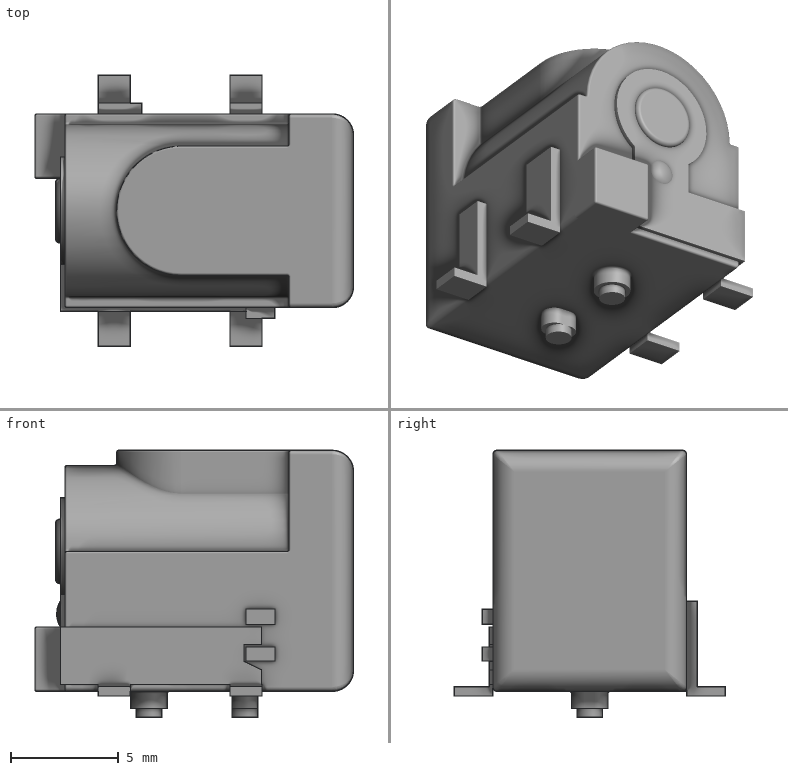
import cadquery as cq
import math

OVERLAP = 0.3

HOUSING_LENGTH = 13.4
HOUSING_WIDTH = 9.0
HOUSING_HEIGHT = 11.2
HALF_WIDTH = HOUSING_WIDTH / 2
LONG_EDGE_RADIUS = 0.2
REAR_EDGE_RADIUS = 1.0
SMALL_RADIUS = 0.1
BARREL_RADIUS = 4.0
BARREL_Z = 6.5
END_WALL_X = 10.4
CROWN_RADIUS = 3.0
CROWN_CENTRE_X = 5.4

BLOCK_LENGTH = 1.4
BLOCK_INNER_Y = 1.5
BLOCK_HEIGHT = 3.0

FRONT_SHEET_X = -0.22
SIDE_SHEET_Y = -4.67
SHEET_BOTTOM_Z = 0.33
SHEET_TOP_Z = BLOCK_HEIGHT
SHEET_REAR_X = 9.13
DISC_RADIUS = 2.5
NECK_HALF_WIDTH = BLOCK_INNER_Y
NOTCH_X = 8.31
NOTCH_TOP_Z = 2.19
NOTCH_BOTTOM_Z = 1.4
NOTCH_RAMP_END_Z = 1.0

RIVET_RADIUS = 1.5
RIVET_HEIGHT = 0.22
RIVET_EDGE_RADIUS = 0.2
DIMPLE_RADIUS = 0.6
DIMPLE_HEIGHT = 0.17
DIMPLE_Z = 3.6

FOOT_WIDTH = 1.5
FOOT_STARTS_X = (1.54, 7.65)
FOOT_TIP_Y = 6.3
FOOT_BOTTOM_Z = -0.22
FOOT_THICKNESS = 0.45
LEG_OUTER_Y = 5.0
LEG_TOP_Z = 4.2
LEG_WIDTHS = (2.03, FOOT_WIDTH)

STUD_START_X = 8.41
STUD_LENGTH = 1.33
STUD_TIP_Y = -5.0
STUD_SPANS_Z = ((1.41, 2.07), (3.12, 3.82))

PEG_RADIUS = 0.6
PEG_TIP_Z = -1.2
FRONT_PEG_X = 3.9
REAR_PEG_X = 8.35
COLLAR_RADIUS = 0.85
COLLAR_BOTTOM_Z = -0.8


def box(x0, x1, y0, y1, z0, z1):
    """Axis-aligned box between two opposite corners."""
    return cq.Workplane("XY").box(x1 - x0, y1 - y0, z1 - z0, centered=False).translate((x0, y0, z0))


def shoulder_recess():
    """Space above the ledges, around the half barrel and the raised crown."""
    space = box(0, END_WALL_X, -HALF_WIDTH, HALF_WIDTH, BARREL_Z, HOUSING_HEIGHT)
    barrel = cq.Workplane("YZ").center(0, BARREL_Z).circle(BARREL_RADIUS).extrude(END_WALL_X)
    crown = (
        cq.Workplane("XY")
        .moveTo(END_WALL_X, -CROWN_RADIUS)
        .lineTo(CROWN_CENTRE_X, -CROWN_RADIUS)
        .threePointArc((CROWN_CENTRE_X - CROWN_RADIUS, 0), (CROWN_CENTRE_X, CROWN_RADIUS))
        .lineTo(END_WALL_X, CROWN_RADIUS)
        .close()
        .extrude(HOUSING_HEIGHT)
    )
    return space.cut(barrel).cut(crown)


def housing():
    body = box(0, HOUSING_LENGTH, -HALF_WIDTH, HALF_WIDTH, 0, HOUSING_HEIGHT)
    body = body.faces(">X").edges().fillet(REAR_EDGE_RADIUS)
    body = body.edges("|X").fillet(LONG_EDGE_RADIUS)
    body = body.cut(shoulder_recess())
    recess_zone = cq.selectors.BoxSelector(
        (-1, -HOUSING_WIDTH, BARREL_Z - SMALL_RADIUS),
        (END_WALL_X + SMALL_RADIUS, HOUSING_WIDTH, HOUSING_HEIGHT + 1),
        boundingbox=True,
    )
    front_edges = body.faces("<X").edges()
    return body.edges(recess_zone).add(front_edges).fillet(SMALL_RADIUS)


def corner_block():
    block = box(-BLOCK_LENGTH, OVERLAP, BLOCK_INNER_Y, HALF_WIDTH, 0, BLOCK_HEIGHT)
    return block.edges("|X or <X").fillet(SMALL_RADIUS)


def contact_sheet():
    front = box(FRONT_SHEET_X, OVERLAP, SIDE_SHEET_Y, BLOCK_INNER_Y, SHEET_BOTTOM_Z, SHEET_TOP_Z)
    neck = box(FRONT_SHEET_X, OVERLAP, -NECK_HALF_WIDTH, NECK_HALF_WIDTH, SHEET_BOTTOM_Z, BARREL_Z)
    disc = (
        cq.Workplane("YZ", origin=(FRONT_SHEET_X, 0, BARREL_Z))
        .circle(DISC_RADIUS)
        .extrude(OVERLAP - FRONT_SHEET_X)
    )
    side = (
        cq.Workplane("XZ", origin=(0, SIDE_SHEET_Y, 0))
        .polyline(
            [
                (FRONT_SHEET_X, SHEET_BOTTOM_Z),
                (FRONT_SHEET_X, SHEET_TOP_Z),
                (SHEET_REAR_X, SHEET_TOP_Z),
                (SHEET_REAR_X, NOTCH_TOP_Z),
                (NOTCH_X, NOTCH_TOP_Z),
                (NOTCH_X, NOTCH_BOTTOM_Z),
                (SHEET_REAR_X, NOTCH_RAMP_END_Z),
                (SHEET_REAR_X, SHEET_BOTTOM_Z),
            ]
        )
        .close()
        .extrude(SIDE_SHEET_Y + HALF_WIDTH - OVERLAP)
    )
    return front.union(neck).union(disc).union(side)


def rivet_and_dimple():
    rivet = (
        cq.Workplane("YZ", origin=(FRONT_SHEET_X, 0, BARREL_Z))
        .circle(RIVET_RADIUS)
        .extrude(-RIVET_HEIGHT)
        .faces("<X")
        .edges()
        .fillet(RIVET_EDGE_RADIUS)
    )
    ball_radius = (DIMPLE_RADIUS**2 + DIMPLE_HEIGHT**2) / (2 * DIMPLE_HEIGHT)
    ball_x = FRONT_SHEET_X - DIMPLE_HEIGHT + ball_radius
    ball = cq.Workplane("XY").sphere(ball_radius).translate((ball_x, 0, DIMPLE_Z))
    core = (
        cq.Workplane("YZ", origin=(FRONT_SHEET_X, 0, DIMPLE_Z))
        .circle(DIMPLE_RADIUS)
        .extrude(-2 * DIMPLE_HEIGHT)
    )
    return rivet.union(ball.intersect(core))


def solder_feet():
    feet = cq.Workplane("XY")
    foot_top = FOOT_BOTTOM_Z + FOOT_THICKNESS
    for start_x, leg_width in zip(FOOT_STARTS_X, LEG_WIDTHS):
        end_x = start_x + FOOT_WIDTH
        leg_end_x = start_x + leg_width
        inner_y = HALF_WIDTH - OVERLAP
        feet = feet.union(box(start_x, end_x, HALF_WIDTH, FOOT_TIP_Y, FOOT_BOTTOM_Z, foot_top))
        feet = feet.union(box(start_x, leg_end_x, inner_y, LEG_OUTER_Y, foot_top, LEG_TOP_Z))
        feet = feet.union(box(start_x, end_x, -FOOT_TIP_Y, -HALF_WIDTH, FOOT_BOTTOM_Z, foot_top))
        feet = feet.union(box(start_x, end_x, SIDE_SHEET_Y, -inner_y, foot_top, SHEET_BOTTOM_Z))
    return feet


def studs():
    end_x = STUD_START_X + STUD_LENGTH
    pair = cq.Workplane("XY")
    for bottom_z, top_z in STUD_SPANS_Z:
        pair = pair.union(box(STUD_START_X, end_x, STUD_TIP_Y, OVERLAP - HALF_WIDTH, bottom_z, top_z))
    return pair


def peg(x):
    """Round peg on the mid-plane."""
    return cq.Workplane("XY", origin=(x, 0, PEG_TIP_Z)).circle(PEG_RADIUS).extrude(OVERLAP - PEG_TIP_Z)


def front_collar():
    """Round collar whose root flares into the housing underside."""
    root_radius = COLLAR_RADIUS + SMALL_RADIUS
    flare_middle = SMALL_RADIUS * (1 - math.sqrt(0.5))
    return (
        cq.Workplane("XZ")
        .moveTo(0, COLLAR_BOTTOM_Z)
        .lineTo(COLLAR_RADIUS, COLLAR_BOTTOM_Z)
        .lineTo(COLLAR_RADIUS, -SMALL_RADIUS)
        .threePointArc((COLLAR_RADIUS + flare_middle, -flare_middle), (root_radius, 0))
        .lineTo(root_radius, OVERLAP)
        .lineTo(0, OVERLAP)
        .close()
        .revolve(360, (0, 0, 0), (0, 1, 0))
        .translate((FRONT_PEG_X, 0, 0))
    )


def rear_collar():
    """Oblong collar, as wide as the peg along X and as long as the front collar along Y."""
    return (
        cq.Workplane("XY", origin=(REAR_PEG_X, 0, COLLAR_BOTTOM_Z))
        .slot2D(2 * COLLAR_RADIUS, 2 * PEG_RADIUS, 90)
        .extrude(OVERLAP - COLLAR_BOTTOM_Z)
    )


def locating_pegs():
    return peg(FRONT_PEG_X).union(front_collar()).union(peg(REAR_PEG_X)).union(rear_collar())


result = (
    housing()
    .union(corner_block())
    .union(contact_sheet())
    .union(rivet_and_dimple())
    .union(solder_feet())
    .union(studs())
    .union(locating_pegs())
)